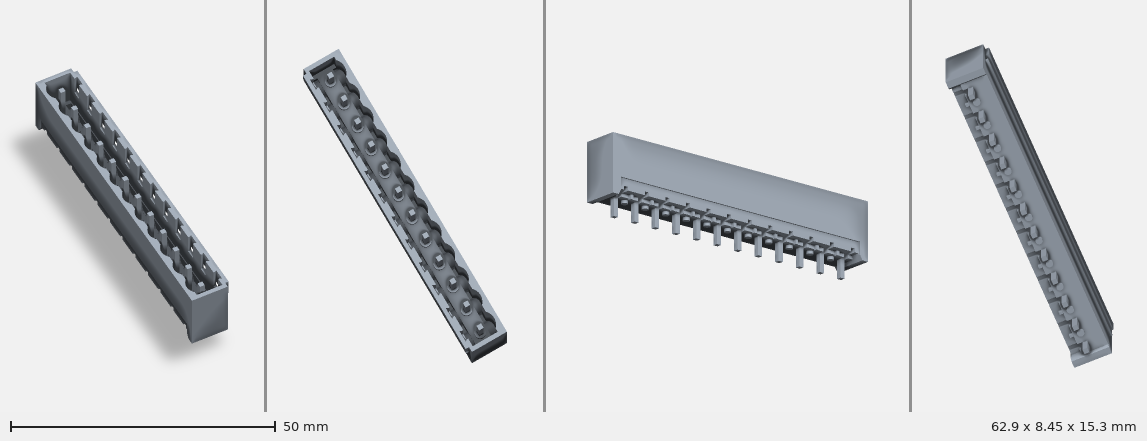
import cadquery as cq
import math


length = 62.9
depth = 7.7
height = 12.1
end_wall = 0.9
front_wall = 1.5
inner_back = 7.0
floor_height = 4.35

pin_count = 12
pitch = 5.08
pin_width = 1.0
pin_bottom = -3.15
pin_top = 11.3
collar_radius = 1.1
collar_height = 0.6
pin_y = depth / 2
pin_xs = [length / 2 + (i - (pin_count - 1) / 2) * pitch for i in range(pin_count)]
gap_xs = [x + pitch / 2 for x in pin_xs[:-1]]

trough_depth = 1.9
front_trough_edge = 2.25
back_trough_edge = 5.65
back_trough_end = 6.8
hump_base = 3.65
hump_round_width = 3.0
hump_height = 1.75
hump_side_height = 0.5
trough_bottom = floor_height - trough_depth
trough_start = pin_xs[0] - hump_base / 2
trough_end = pin_xs[-1] + hump_base / 2

scallop_depth = 0.75
scallop_bottom_y = front_wall - scallop_depth
scallop_radius = ((hump_base / 2) ** 2 + scallop_depth**2) / (2 * scallop_depth)

slot_inner_width = 1.9
slot_outer_width = 2.3
slot_flare_y = 7.3
slot_bottom = 8.1

rail_inset = 1.1
upper_rail_depth = 0.75
upper_rail_height = 3.2
lower_rail_depth = 0.55
lower_rail_height = 0.75
lower_rail_bottom = 6.05

foot_width = 1.4
foot_slope = 60.0
base_height = 0.6
front_base_height = 1.3
front_base_depth = 2.25
recess_inset = 1.95
recess_depth = 0.3
recess_height = 3.6
pin_notch_height = 2.1
standoff_radius = 0.7
rib_width = 0.55
rib_depth = 0.7
rib_bottom = 0.4


def box(x0, x1, y0, y1, z0, z1):
    """Block between two opposite corners."""
    return cq.Workplane("XY").box(x1 - x0, y1 - y0, z1 - z0, centered=False).translate((x0, y0, z0))


def centered_box(x, width, y0, y1, z0, z1):
    """Block whose width is centred on x."""
    return box(x - width / 2, x + width / 2, y0, y1, z0, z1)


def combine(pieces):
    """Group separate pieces so that they are added or cut in one step."""
    return cq.Workplane(cq.Compound.makeCompound([piece.val() for piece in pieces]))


def foot_gap(gap_height, gap_depth):
    """Space under the housing between the sloping sides of the two feet."""
    run = gap_height / math.tan(math.radians(foot_slope))
    return (
        cq.Workplane("XZ")
        .moveTo(foot_width, 0)
        .lineTo(length - foot_width, 0)
        .lineTo(length - foot_width - run, gap_height)
        .lineTo(foot_width + run, gap_height)
        .close()
        .extrude(-gap_depth)
    )


def scallop(x):
    """Upright round cut into the front wall at a pin."""
    circle = (
        cq.Workplane("XY", origin=(0, 0, trough_bottom))
        .center(x, scallop_bottom_y + scallop_radius)
        .circle(scallop_radius)
        .extrude(height - trough_bottom)
    )
    return circle.intersect(
        centered_box(x, hump_base, scallop_bottom_y, front_trough_edge, trough_bottom, height)
    )


def hump(x, y0, y1):
    """Steep-sided hump with a round top, lying across a trough."""
    shoulder = trough_bottom + hump_side_height
    return (
        cq.Workplane("XZ", origin=(0, y0, 0))
        .moveTo(x - hump_base / 2, trough_bottom)
        .lineTo(x - hump_round_width / 2, shoulder)
        .threePointArc((x, trough_bottom + hump_height), (x + hump_round_width / 2, shoulder))
        .lineTo(x + hump_base / 2, trough_bottom)
        .close()
        .extrude(y0 - y1)
    )


def back_slot(x):
    """Slot through the back wall, flaring wider towards the outside."""
    inner = slot_inner_width / 2
    outer = slot_outer_width / 2
    return (
        cq.Workplane("XY", origin=(0, 0, slot_bottom))
        .moveTo(x - inner, inner_back)
        .lineTo(x - inner, slot_flare_y)
        .lineTo(x - outer, depth)
        .lineTo(x + outer, depth)
        .lineTo(x + inner, slot_flare_y)
        .lineTo(x + inner, inner_back)
        .close()
        .extrude(height - slot_bottom)
    )


def trough(y0, y1):
    """Trough in the floor, along the row of pins."""
    return box(trough_start, trough_end, y0, y1, trough_bottom, floor_height)


def make_housing():
    """Hollow housing with its floor, slotted back wall and stepped underside."""
    housing = box(0, length, 0, depth, 0, height)
    housing = housing.cut(
        box(end_wall, length - end_wall, front_wall, inner_back, floor_height, height)
    )

    front_trough = trough(front_wall, front_trough_edge).union(combine([scallop(x) for x in pin_xs]))
    front_trough = front_trough.cut(
        combine([hump(x, scallop_bottom_y, front_trough_edge) for x in pin_xs])
    )
    back_trough = trough(back_trough_edge, back_trough_end)
    back_trough = back_trough.cut(
        combine([hump(x, back_trough_edge, back_trough_end) for x in pin_xs])
    )
    housing = housing.cut(front_trough).cut(back_trough)
    housing = housing.cut(combine([back_slot(x) for x in pin_xs]))

    housing = housing.cut(foot_gap(base_height, depth))
    housing = housing.cut(foot_gap(front_base_height, front_base_depth))
    housing = housing.cut(
        box(recess_inset, length - recess_inset, 0, recess_depth, 0, recess_height)
    )
    notches = [centered_box(x, pin_width, 0, pin_y, 0, pin_notch_height) for x in pin_xs]
    return housing.cut(combine(notches))


def add_rails(body):
    """Two rails along the back face."""
    x0 = rail_inset
    x1 = length - rail_inset
    body = body.union(
        box(x0, x1, depth, depth + upper_rail_depth, height - upper_rail_height, height)
    )
    return body.union(
        box(x0, x1, depth, depth + lower_rail_depth,
            lower_rail_bottom, lower_rail_bottom + lower_rail_height)
    )


def standoff(x):
    """Round standoff under the base."""
    return cq.Workplane("XY").center(x, pin_y).circle(standoff_radius).extrude(base_height)


def rib(x):
    """Short rib on the front of the base."""
    rib_front = front_base_depth - rib_depth
    return centered_box(x, rib_width, rib_front, front_base_depth, rib_bottom, front_base_height)


def collar(x):
    """Round collar on the floor around a pin."""
    return (
        cq.Workplane("XY", origin=(0, 0, floor_height))
        .center(x, pin_y)
        .circle(collar_radius)
        .extrude(collar_height)
    )


def pin(x):
    """Square pin passing down through the floor."""
    return centered_box(
        x, pin_width, pin_y - pin_width / 2, pin_y + pin_width / 2, pin_bottom, pin_top
    )


result = add_rails(make_housing())
result = result.union(combine([standoff(x) for x in gap_xs]))
result = result.union(combine([rib(x) for x in gap_xs]))
result = result.union(combine([collar(x) for x in pin_xs]))
result = result.union(combine([pin(x) for x in pin_xs]))